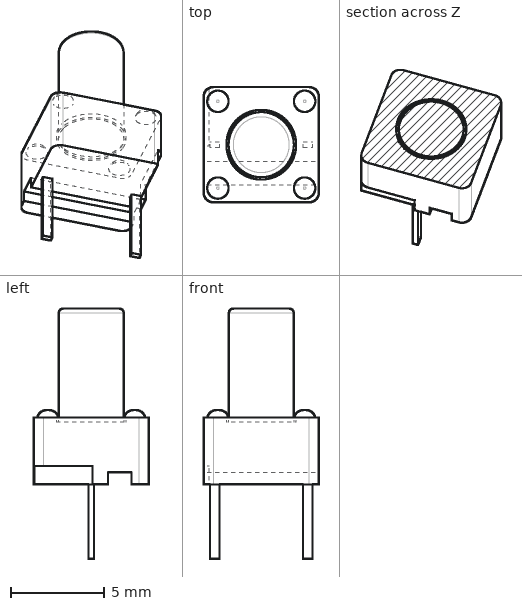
import cadquery as cq

body_width = 6.2
body_height = 3.6
corner_radius = 0.525
cover_thickness = 0.25

plunger_diameter = 3.5
plunger_top = 9.45
plunger_rim_radius = 0.25
clearance_diameter = 3.75

rivet_spacing = 4.66
rivet_diameter = 1.15
rivet_height = 0.4
rivet_flat_radius = 0.07

pin_pitch = 5.0
pin_width = 0.53
pin_thickness = 0.3
pin_length = 4.0

step_depth = 0.3
step_height = 1.0
step_end_y = -0.07

notch_width = 1.25
notch_height = 0.65
notch_center_y = -1.535


def make_housing():
    """Solid base and cover together, with rounded vertical corners."""
    return (
        cq.Workplane("XY")
        .rect(body_width, body_width)
        .extrude(body_height)
        .edges("|Z")
        .fillet(corner_radius)
    )


def make_clearance():
    """Round opening through the cover around the plunger."""
    return (
        cq.Workplane("XY")
        .workplane(offset=body_height - cover_thickness)
        .circle(clearance_diameter / 2)
        .extrude(cover_thickness)
    )


def make_plunger():
    """Round plunger with a rounded top rim, rising from the clearance floor."""
    floor_z = body_height - cover_thickness
    return (
        cq.Workplane("XY")
        .workplane(offset=floor_z)
        .circle(plunger_diameter / 2)
        .extrude(plunger_top - floor_z)
        .faces(">Z")
        .edges()
        .fillet(plunger_rim_radius)
    )


def make_rivet(x, y):
    """Domed rivet head: an arc that runs tangent into a small flat on top."""
    rivet_radius = rivet_diameter / 2
    dome_span = rivet_radius - rivet_flat_radius
    arc_radius = (dome_span**2 + rivet_height**2) / (2 * rivet_height)
    profile = (
        cq.Workplane("XZ")
        .lineTo(rivet_radius, 0)
        .radiusArc((rivet_flat_radius, rivet_height), -arc_radius)
        .lineTo(0, rivet_height)
        .close()
    )
    return profile.revolve(360, (0, 0, 0), (0, 1, 0)).translate((x, y, body_height))


def make_pin(x):
    """Rectangular pin hanging from the underside."""
    return (
        cq.Workplane("XY")
        .center(x, 0)
        .rect(pin_width, pin_thickness)
        .extrude(-pin_length)
    )


def make_step():
    """Cutting block for the step on the -X side."""
    half_width = body_width / 2
    step_length = half_width - step_end_y
    block = cq.Workplane("XY").box(step_depth, step_length, step_height, centered=False)
    return block.translate((-half_width, step_end_y, 0))


def make_notch():
    """Cutting block for the notch across the underside."""
    return (
        cq.Workplane("XY")
        .center(0, notch_center_y)
        .rect(body_width, notch_width)
        .extrude(notch_height)
    )


result = make_housing().cut(make_step()).cut(make_notch()).cut(make_clearance())
result = result.union(make_plunger())
for side_x in (-1, 1):
    result = result.union(make_pin(side_x * pin_pitch / 2))
    for side_y in (-1, 1):
        rivet = make_rivet(side_x * rivet_spacing / 2, side_y * rivet_spacing / 2)
        result = result.union(rivet)